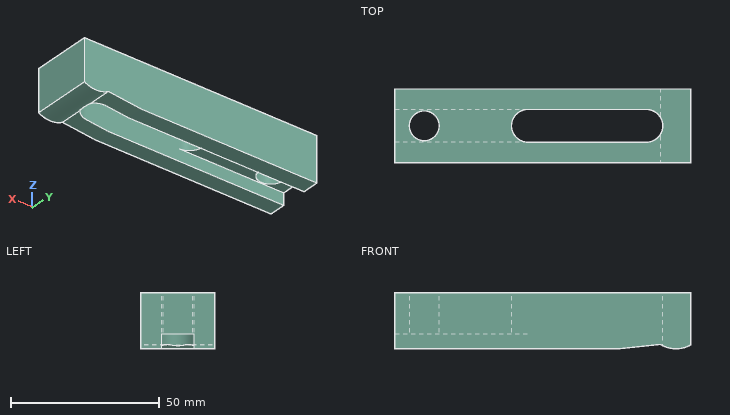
import cadquery as cq
import math

length = 100.0
width = 25.0
height = 19.0

relief_start = 75.5
relief_depth = 1.5
nose_radius = 10.0
nose_low_x = 95.0
nose_start = nose_low_x - math.sqrt(nose_radius**2 - (nose_radius - relief_depth) ** 2)
nose_end_z = nose_radius - math.sqrt(nose_radius**2 - (length - nose_low_x) ** 2)

hole_diameter = 10.0
hole_x = 10.0

slot_width = 11.0
slot_start = 39.5
slot_end = 90.5
slot_length = slot_end - slot_start
slot_center_x = (slot_start + slot_end) / 2

groove_depth = 5.0


def make_body():
    """Side profile extruded symmetrically across the width."""
    profile = (
        cq.Workplane("XZ")
        .moveTo(0, 0)
        .lineTo(relief_start, 0)
        .lineTo(nose_start, relief_depth)
        .threePointArc((nose_low_x, 0), (length, nose_end_z))
        .lineTo(length, height)
        .lineTo(0, height)
        .close()
    )
    return profile.extrude(width / 2, both=True)


def make_hole():
    return cq.Workplane("XY").center(hole_x, 0).circle(hole_diameter / 2).extrude(height)


def make_slot():
    return cq.Workplane("XY").center(slot_center_x, 0).slot2D(slot_length, slot_width).extrude(height)


def make_groove():
    return cq.Workplane("XY").box(slot_center_x, slot_width, groove_depth, centered=(False, True, False))


result = make_body().cut(make_hole()).cut(make_slot()).cut(make_groove())